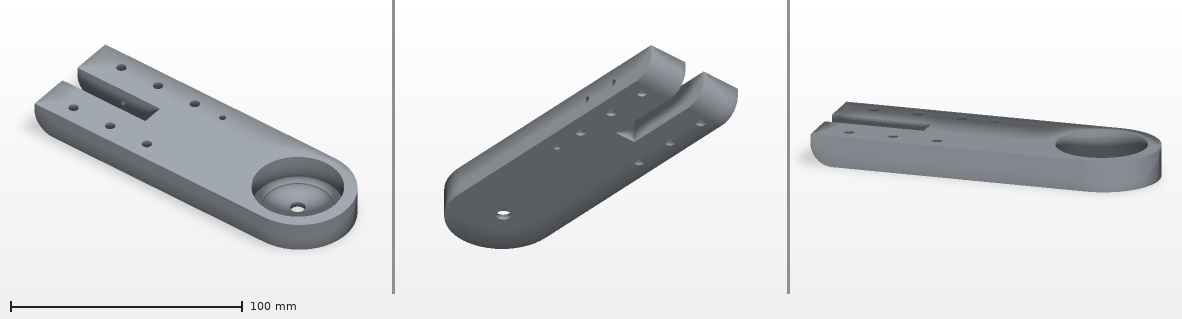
import cadquery as cq

length = 150.0
width = length / 3
thickness = 14.0
end_radius = width / 2
end_center_x = length - end_radius
nose_radius = 9.9

slot_length = 45.0
slot_width = 10.5

mount_diameter = 4.5
mount_first_x = 15.0
mount_pitch = 20.0
mount_count = 3
mount_offset_y = 17.0
pin_diameter = 3.2
pin_x = 70.0

cross_diameter = 3.0
cross_positions_x = (24.8, 42.0)

pocket_center_x = 124.0
pocket_diameter = 40.0
pocket_depth = 11.0
recess_diameter = 31.0
recess_depth = 0.5
bore_diameter = 6.6


def make_plate():
    """Plate with one rounded end and a rounded lower edge at the other."""
    plate = (
        cq.Workplane("XY")
        .moveTo(0, -end_radius)
        .lineTo(end_center_x, -end_radius)
        .threePointArc((length, 0), (end_center_x, end_radius))
        .lineTo(0, end_radius)
        .close()
        .extrude(thickness)
    )
    return plate.faces("<X").edges("<Z").fillet(nose_radius)


def vertical_cut(points, diameter, depth):
    """Cylinders reaching down from the top face by the given depth."""
    return (
        cq.Workplane("XY", origin=(0, 0, thickness))
        .pushPoints(points)
        .circle(diameter / 2)
        .extrude(-depth)
    )


def make_slot():
    return cq.Workplane("XY").box(slot_length, slot_width, thickness, centered=(False, True, False))


def make_cross_holes():
    """Horizontal cylinders from the slot's middle to the +Y side."""
    points = [(x, thickness / 2) for x in cross_positions_x]
    return cq.Workplane("XZ").pushPoints(points).circle(cross_diameter / 2).extrude(-end_radius)


mount_points = [
    (mount_first_x + i * mount_pitch, side * mount_offset_y)
    for i in range(mount_count)
    for side in (-1, 1)
]
pocket_center = [(pocket_center_x, 0)]

result = (
    make_plate()
    .cut(make_slot())
    .cut(vertical_cut(mount_points, mount_diameter, thickness))
    .cut(vertical_cut([(pin_x, mount_offset_y)], pin_diameter, thickness))
    .cut(make_cross_holes())
    .cut(vertical_cut(pocket_center, pocket_diameter, pocket_depth))
    .cut(vertical_cut(pocket_center, recess_diameter, pocket_depth + recess_depth))
    .cut(vertical_cut(pocket_center, bore_diameter, thickness))
)